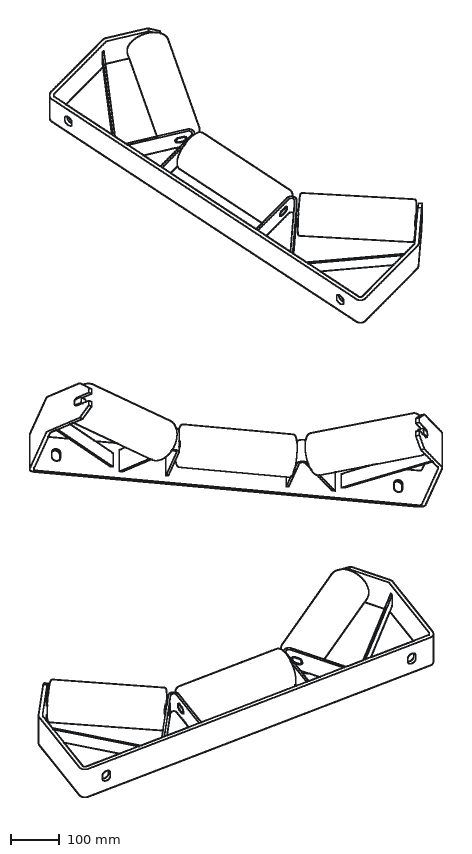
import cadquery as cq
import math

TILT = 35.0
LEAN = math.radians(90 - TILT)

FRAME_LENGTH = 830.0
FRAME_HEIGHT = 80.0
FRAME_WALL = 8.0
FRAME_BEND = 13.0
KNEE_Y = 187.0
ARM_LENGTH = 119.5
TIP_CUT_ALONG = 26.0
TIP_CUT_ACROSS = 20.0

MOUNT_SPACING = 717.0
MOUNT_WIDTH = 18.0
MOUNT_HEIGHT = 27.0

DRUM_DIAMETER = 89.0
DRUM_LENGTH = 239.0
DRUM_FILLET = 5.0
SHAFT_DIAMETER = 20.0
SHAFT_FLATS = 13.0
CENTRE_ROLLER_Y = 100.5
WING_ROLLER_X = 256.0
WING_ROLLER_Y = 183.5

SLOT_WIDTH = 18.0
BRACKET_SLOT_LENGTH = 25.0
ARM_SLOT_DROP = 2.0

BRACKET_WALL = 5.0
BRACKET_HEIGHT = 50.0
BRACKET_BEND = 12.0
BRACKET_LEG_X = 124.0
BRACKET_PEAK_Y = 154.0

BRACE_WALL = 4.0
BRACE_HEIGHT = 31.5
BRACE_FOOT_X = 239.0

HALF_LENGTH = FRAME_LENGTH / 2
WALL_FACE_X = HALF_LENGTH - FRAME_WALL
KNEE = (-HALF_LENGTH, KNEE_Y)
PEAK = (-BRACKET_LEG_X, BRACKET_PEAK_Y)
WING_CENTRE = (-WING_ROLLER_X, WING_ROLLER_Y)


def leaning_point(start, along, inward=0.0):
    """Point at a distance along the leaning direction and a distance towards the lower right of it."""
    return (
        start[0] + along * math.cos(LEAN) + inward * math.sin(LEAN),
        start[1] + along * math.sin(LEAN) - inward * math.cos(LEAN),
    )


def distance_to_leaning_face(point):
    """Distance from the wing drum's middle to a leaning face, along the shaft, positive to the right."""
    dx = point[0] - WING_CENTRE[0]
    dy = point[1] - WING_CENTRE[1]
    return dx * math.sin(LEAN) - dy * math.cos(LEAN)


def shaft_plane(centre, angle):
    """Plane across a shaft: its normal runs along the shaft and its local Y is the part's Z."""
    turn = math.radians(angle)
    return cq.Plane(
        origin=(centre[0], centre[1], 0),
        xDir=(-math.sin(turn), math.cos(turn), 0),
        normal=(math.cos(turn), math.sin(turn), 0),
    )


WING_PLANE = shaft_plane(WING_CENTRE, -TILT)
CENTRE_PLANE = shaft_plane((0, CENTRE_ROLLER_Y), 0)

ARM_OUTER = distance_to_leaning_face(KNEE)
BRACKET_INNER = distance_to_leaning_face(PEAK) + BRACKET_WALL
CENTRE_SHAFT_END = BRACKET_LEG_X + BRACKET_WALL


def mirrored(body):
    return body.mirror("YZ")


def plan_extrusion(points, height):
    """Extrude a plan outline, centred on Z = 0."""
    return cq.Workplane("XY").workplane(offset=-height / 2).polyline(points).close().extrude(height)


def round_bend(body, corner, radius):
    """Round the vertical edge that stands at a plan corner."""
    edge = cq.selectors.NearestToPointSelector((corner[0], corner[1], 0))
    return body.edges(edge).fillet(radius)


def along_shaft(plane, start, end):
    """Workplane across a shaft at start, and the depth from there to end."""
    return cq.Workplane(plane).workplane(offset=start), end - start


def bent_half_bar():
    tip = leaning_point(KNEE, ARM_LENGTH)
    inner_tip = leaning_point(KNEE, ARM_LENGTH, FRAME_WALL)
    inner_knee = (-WALL_FACE_X, KNEE_Y - FRAME_WALL * math.tan(math.radians(TILT / 2)))
    corner = (-HALF_LENGTH, 0)
    inner_corner = (-WALL_FACE_X, FRAME_WALL)
    outline = [(0, 0), corner, KNEE, tip, inner_tip, inner_knee, inner_corner, (0, FRAME_WALL)]
    bar = plan_extrusion(outline, FRAME_HEIGHT)
    for outer_corner in (corner, KNEE):
        bar = round_bend(bar, outer_corner, FRAME_BEND)
    for inside_corner in (inner_corner, inner_knee):
        bar = round_bend(bar, inside_corner, FRAME_BEND - FRAME_WALL)
    return bar


def arm_tip_distance():
    """Height of the arm tip above the wing shaft, along the arm."""
    tip = leaning_point(KNEE, ARM_LENGTH)
    return (tip[0] - WING_CENTRE[0]) * math.cos(LEAN) + (tip[1] - WING_CENTRE[1]) * math.sin(LEAN)


def arm_slot():
    """Open slot that the wing shaft drops into from the arm tip."""
    base, depth = along_shaft(WING_PLANE, ARM_OUTER, ARM_OUTER + FRAME_WALL)
    straight_length = arm_tip_distance() + ARM_SLOT_DROP
    base = base.center(-ARM_SLOT_DROP, 0)
    round_end = base.circle(SLOT_WIDTH / 2).extrude(depth)
    straight = base.center(straight_length / 2, 0).rect(straight_length, SLOT_WIDTH).extrude(depth)
    return round_end.union(straight)


def arm_tip_cuts():
    """Triangles that cut the upper and lower corners off the arm tip."""
    base, depth = along_shaft(WING_PLANE, ARM_OUTER, ARM_OUTER + FRAME_WALL)
    tip = arm_tip_distance()
    cuts = cq.Workplane("XY")
    for side in (-1, 1):
        edge = side * FRAME_HEIGHT / 2
        triangle = [(tip, edge), (tip - TIP_CUT_ALONG, edge), (tip, edge - side * TIP_CUT_ACROSS)]
        cuts = cuts.add(base.polyline(triangle).close().extrude(depth))
    return cuts.combine()


def make_frame():
    half = bent_half_bar().cut(arm_slot()).cut(arm_tip_cuts())
    mounting_slots = (
        cq.Workplane("XZ")
        .pushPoints([(-MOUNT_SPACING / 2, 0), (MOUNT_SPACING / 2, 0)])
        .slot2D(MOUNT_HEIGHT, MOUNT_WIDTH, 90)
        .extrude(-FRAME_WALL)
    )
    return half.union(mirrored(half)).cut(mounting_slots)


def make_roller(plane, shaft_start, shaft_end):
    base, length = along_shaft(plane, -DRUM_LENGTH / 2, DRUM_LENGTH / 2)
    drum = base.circle(DRUM_DIAMETER / 2).extrude(length).faces("%PLANE").edges().fillet(DRUM_FILLET)
    base, length = along_shaft(plane, shaft_start, shaft_end)
    shaft = base.circle(SHAFT_DIAMETER / 2).extrude(length)
    flats = base.rect(SHAFT_DIAMETER, SHAFT_FLATS).extrude(length)
    return drum.union(shaft.intersect(flats))


def bracket_slot(plane, start):
    base, depth = along_shaft(plane, start, start + BRACKET_WALL)
    return base.slot2D(BRACKET_SLOT_LENGTH, SLOT_WIDTH).extrude(depth)


def make_bracket():
    foot_length = (BRACKET_PEAK_Y - FRAME_WALL) / math.sin(LEAN)
    foot = leaning_point(PEAK, -foot_length)
    inner_foot = (foot[0] + BRACKET_WALL / math.sin(LEAN), FRAME_WALL)
    leg_foot = (-BRACKET_LEG_X, FRAME_WALL)
    inner_leg_x = -BRACKET_LEG_X - BRACKET_WALL
    inner_leg_foot = (inner_leg_x, FRAME_WALL)
    inner_peak = (inner_leg_x, FRAME_WALL + (inner_leg_x - inner_foot[0]) * math.tan(LEAN))
    outline = [foot, PEAK, leg_foot, inner_leg_foot, inner_peak, inner_foot]
    strip = plan_extrusion(outline, BRACKET_HEIGHT)
    strip = round_bend(strip, PEAK, BRACKET_BEND)
    strip = round_bend(strip, inner_peak, BRACKET_BEND - BRACKET_WALL)
    wing_slot = bracket_slot(WING_PLANE, BRACKET_INNER - BRACKET_WALL)
    centre_slot = bracket_slot(CENTRE_PLANE, -CENTRE_SHAFT_END)
    return strip.cut(wing_slot).cut(centre_slot)


def make_brace():
    foot_width = BRACE_WALL * math.sqrt(2)
    top_y = FRAME_WALL + WALL_FACE_X - BRACE_FOOT_X
    outline = [
        (-BRACE_FOOT_X, FRAME_WALL),
        (-WALL_FACE_X, top_y),
        (-WALL_FACE_X, top_y - foot_width),
        (-BRACE_FOOT_X - foot_width, FRAME_WALL),
    ]
    return plan_extrusion(outline, BRACE_HEIGHT)


frame = make_frame()
centre_roller = make_roller(CENTRE_PLANE, -CENTRE_SHAFT_END, CENTRE_SHAFT_END)

bodies = [*frame.solids().vals(), *centre_roller.solids().vals()]
wing_roller = make_roller(WING_PLANE, ARM_OUTER, BRACKET_INNER)
for left_body in (wing_roller, make_bracket(), make_brace()):
    bodies += [*left_body.solids().vals(), *mirrored(left_body).solids().vals()]

result = cq.Compound.makeCompound(bodies)